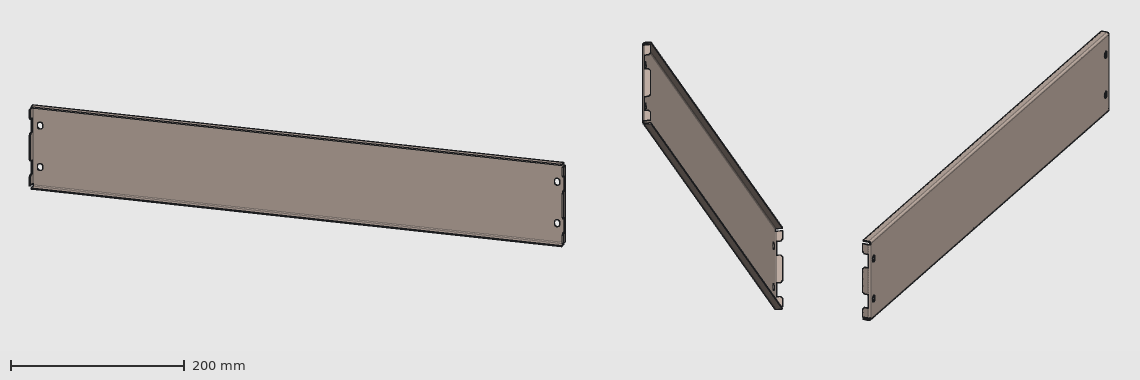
import cadquery as cq

length = 647.0
depth = 10.0
height = 100.0
sheet = 1.5
bend_radius = 2.5

long_flange_inset = 2.15
end_flange_inset = 4.0

outer_tab_length = 12.0
middle_tab_length = 33.5
tab_root = 2.5
tab_corner = 2.25

slot_width = 6.5
slot_height = 8.5
slot_end_offset = 10.5
slot_spacing = 50.5

back = depth / 2
front = -depth / 2
tab_root_y = back - tab_root
tab_depth = tab_root_y - front
tab_y = (tab_root_y + front) / 2
opening_half = height / 2 - end_flange_inset - outer_tab_length


def make_tray():
    """Open tray with rounded folds along all four sides."""
    outside = (
        cq.Workplane("XY")
        .box(length, depth, height)
        .edges(">Y")
        .fillet(bend_radius)
    )
    inside = (
        cq.Workplane("XY")
        .box(length - 2 * sheet, depth, height - 2 * sheet)
        .edges(">Y")
        .fillet(bend_radius - sheet)
        .translate((0, -sheet, 0))
    )
    return outside.cut(inside)


def make_corner_reliefs():
    """Rectangular notches that separate the flanges at the four corners."""
    return (
        cq.Workplane("XY")
        .rect(length, height, forConstruction=True)
        .vertices()
        .box(2 * long_flange_inset, 2 * end_flange_inset, 2 * depth)
        .rotate((0, 0, 0), (1, 0, 0), 90)
    )


def make_tab_bar(tab_length, z_center):
    """Full-length bar whose section is one tab with clipped front corners."""
    return (
        cq.Workplane("XY")
        .box(2 * length, tab_depth, tab_length)
        .edges("<Y and |X")
        .chamfer(tab_corner)
        .translate((0, tab_y, z_center))
    )


def make_end_flange_gaps():
    """Material removed from the end flanges, leaving three tabs on each."""
    opening = (
        cq.Workplane("YZ")
        .polyline([
            (tab_root_y, -opening_half),
            (front + tab_corner, -opening_half),
            (front, -opening_half - tab_corner),
            (front, opening_half + tab_corner),
            (front + tab_corner, opening_half),
            (tab_root_y, opening_half),
        ])
        .close()
        .extrude(length, both=True)
    )
    gaps = opening.cut(make_tab_bar(middle_tab_length, 0))
    between_folds = cq.Workplane("XY").box(length - 2 * bend_radius, 2 * depth, height)
    return gaps.cut(between_folds)


def make_slots():
    """Four upright slots through the back wall."""
    return (
        cq.Workplane("XZ")
        .rarray(length - 2 * slot_end_offset, slot_spacing, 2, 2)
        .slot2D(slot_height, slot_width, 90)
        .extrude(depth, both=True)
    )


result = make_tray().cut(make_corner_reliefs()).cut(make_end_flange_gaps()).cut(make_slots())